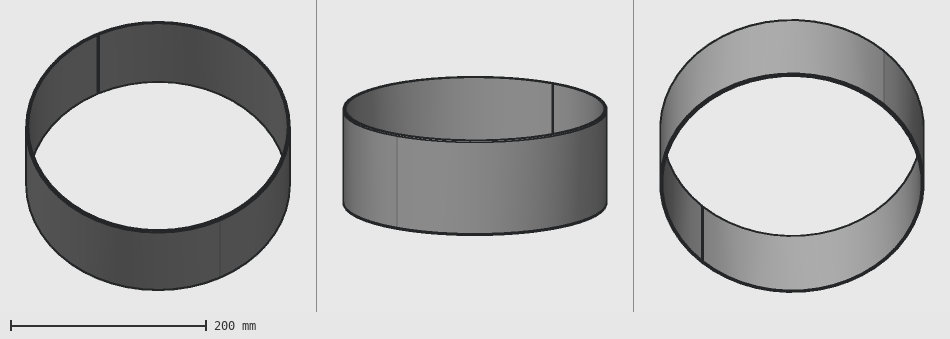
import cadquery as cq

outer_diameter = 270.0
height = 100.0
wall = 2.5
rim_chamfer_height = 1.75
rim_chamfer_inset = 0.68
bore_chamfer = 0.3
slit_width = 1.78

outer_radius = outer_diameter / 2
inner_radius = outer_radius - wall
rim_outer_radius = outer_radius - rim_chamfer_inset
rim_inner_radius = inner_radius + bore_chamfer


def make_sleeve():
    """Thin-walled tube with steep outer rim chamfers and small 45 degree bore chamfers."""
    wall_section = (
        cq.Workplane("XZ")
        .moveTo(rim_inner_radius, 0)
        .lineTo(rim_outer_radius, 0)
        .lineTo(outer_radius, rim_chamfer_height)
        .lineTo(outer_radius, height - rim_chamfer_height)
        .lineTo(rim_outer_radius, height)
        .lineTo(rim_inner_radius, height)
        .lineTo(inner_radius, height - bore_chamfer)
        .lineTo(inner_radius, bore_chamfer)
        .close()
    )
    return wall_section.revolve(360, (0, 0, 0), (0, 1, 0))


def make_slit():
    """Full-height cutter through the -X wall, from the XZ plane toward +Y."""
    slit_length = 4 * wall
    return (
        cq.Workplane("XY")
        .center(-outer_radius, slit_width / 2)
        .rect(slit_length, slit_width)
        .extrude(height)
    )


result = make_sleeve().cut(make_slit())